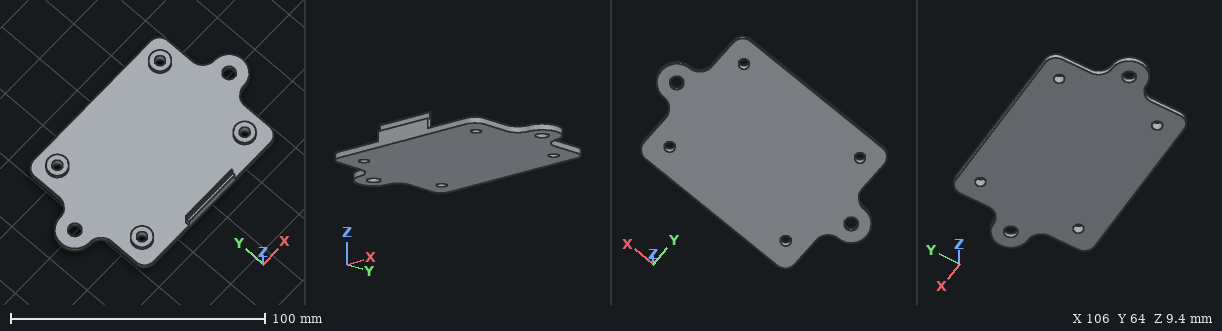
import cadquery as cq

plate_length = 78.0
plate_width = 64.0
plate_thickness = 2.5
corner_radius = 5.0

overall_length = 106
ear_radius = 8.0
ear_hole_diameter = 5.5
ear_center_x = overall_length / 2 - ear_radius
blend_radius = ear_center_x - plate_length / 2

boss_spacing_x = 60.0
boss_spacing_y = 45.0
boss_offset_y = 0.5
boss_diameter = 9.0
boss_height = 2.0
boss_hole_diameter = 4.2

lip_length = 26.7
lip_depth = 1.8
lip_step_depth = 1.2
lip_step_top = 6.6
lip_top = 9.4


def make_plate():
    """Rounded plate with two blended ears, standing on Z = 0."""
    plate = (
        cq.Workplane("XY")
        .rect(plate_length, plate_width)
        .extrude(plate_thickness)
        .edges("|Z")
        .fillet(corner_radius)
    )
    for side in (-1, 1):
        plate = plate.union(make_ear(side))
    return plate


def make_ear(side):
    """Ear with a round end and concave blends into the plate edge."""
    edge_x = side * plate_length / 2
    center_x = side * ear_center_x
    tip_x = side * overall_length / 2
    blend_end_y = ear_radius + blend_radius
    diagonal = blend_radius * 0.5**0.5
    blend_mid_x = center_x - side * diagonal
    blend_mid_y = blend_end_y - diagonal
    inner_x = edge_x - side * corner_radius
    return (
        cq.Workplane("XY")
        .moveTo(inner_x, -blend_end_y)
        .lineTo(edge_x, -blend_end_y)
        .threePointArc((blend_mid_x, -blend_mid_y), (center_x, -ear_radius))
        .threePointArc((tip_x, 0), (center_x, ear_radius))
        .threePointArc((blend_mid_x, blend_mid_y), (edge_x, blend_end_y))
        .lineTo(inner_x, blend_end_y)
        .close()
        .extrude(plate_thickness)
    )


def make_bosses():
    return (
        cq.Workplane("XY")
        .center(0, boss_offset_y)
        .rect(boss_spacing_x, boss_spacing_y, forConstruction=True)
        .vertices()
        .circle(boss_diameter / 2)
        .extrude(plate_thickness + boss_height)
    )


def make_lip():
    """Lip flush with the front edge, its outer part lower than its inner part."""
    outer_y = -plate_width / 2
    step_y = outer_y + lip_step_depth
    inner_y = outer_y + lip_depth
    return (
        cq.Workplane("YZ")
        .moveTo(outer_y, 0)
        .lineTo(outer_y, lip_step_top)
        .lineTo(step_y, lip_step_top)
        .lineTo(step_y, lip_top)
        .lineTo(inner_y, lip_top)
        .lineTo(inner_y, 0)
        .close()
        .extrude(lip_length / 2, both=True)
    )


def make_holes():
    """Through cutters for the bosses and the ears."""
    cutter_height = plate_thickness + boss_height
    boss_holes = (
        cq.Workplane("XY")
        .center(0, boss_offset_y)
        .rect(boss_spacing_x, boss_spacing_y, forConstruction=True)
        .vertices()
        .circle(boss_hole_diameter / 2)
        .extrude(cutter_height)
    )
    ear_holes = (
        cq.Workplane("XY")
        .pushPoints([(-ear_center_x, 0), (ear_center_x, 0)])
        .circle(ear_hole_diameter / 2)
        .extrude(cutter_height)
    )
    return boss_holes.union(ear_holes)


result = make_plate().union(make_bosses()).union(make_lip()).cut(make_holes())